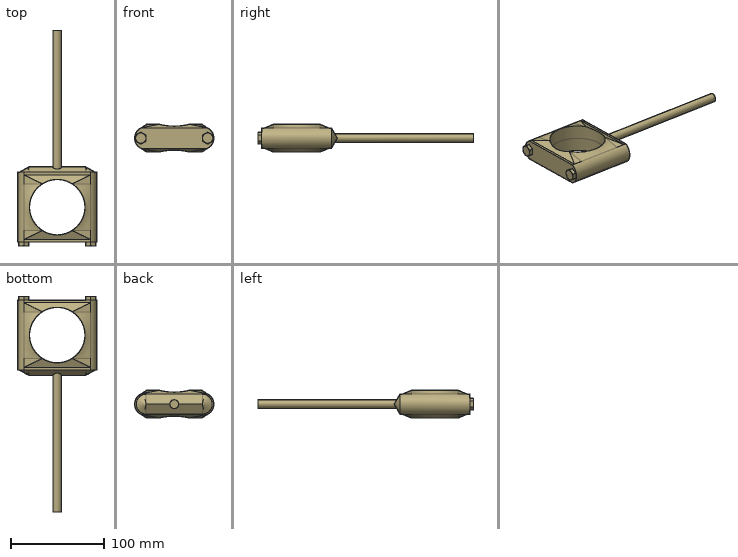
import cadquery as cq
import math

total_length = 231.5
body_width = 85.2
body_depth = 75.0
body_height = 21.8
bolt_spacing = 71.7
collar_depth = 69.5
collar_top_depth = 50.0
overall_height = 29.9
bore_radius = 29.6
bolt_head_flats = 11.0
bolt_head_height = 4.2
bolt_corner_bevel = 30
ridge_height = 6.0
ridge_length = 60.2
ridge_radius = 10.6
rod_diameter = 9.5

half_height = body_height / 2
half_depth = body_depth / 2
half_flat = bolt_spacing / 2
half_overall = overall_height / 2
crest_y = collar_top_depth / 2
crest_x = math.sqrt(bore_radius**2 - crest_y**2)


def make_body():
    """Block with flat top and bottom and arched long sides."""
    return (
        cq.Workplane("XZ", origin=(0, half_depth, 0))
        .moveTo(-half_flat, half_height)
        .lineTo(half_flat, half_height)
        .threePointArc((body_width / 2, 0), (half_flat, -half_height))
        .lineTo(-half_flat, -half_height)
        .threePointArc((-body_width / 2, 0), (-half_flat, half_height))
        .close()
        .extrude(body_depth)
    )


def tapered_prism(plane, base_width, top_width, length):
    """Trapezoid standing on the body top, extruded symmetrically."""
    outline = [
        (-base_width / 2, half_height),
        (base_width / 2, half_height),
        (top_width / 2, half_overall),
        (-top_width / 2, half_overall),
    ]
    return cq.Workplane(plane).polyline(outline).close().extrude(length / 2, both=True)


def make_collar():
    """Raised collar: ruled flanks rising to the bore edge, and sloping ends."""
    flanks = (
        cq.Workplane("XY", origin=(0, 0, half_height))
        .moveTo(-half_flat, -crest_y)
        .lineTo(half_flat, -crest_y)
        .lineTo(half_flat, crest_y)
        .lineTo(-half_flat, crest_y)
        .close()
        .workplane(offset=half_overall - half_height)
        .moveTo(-crest_x, -crest_y)
        .lineTo(crest_x, -crest_y)
        .threePointArc((bore_radius, 0), (crest_x, crest_y))
        .lineTo(-crest_x, crest_y)
        .threePointArc((-bore_radius, 0), (-crest_x, -crest_y))
        .close()
        .loft(ruled=True)
    )
    end_slopes = tapered_prism("YZ", collar_depth, collar_top_depth, bolt_spacing)
    side_slopes = tapered_prism("XZ", bolt_spacing, 2 * crest_x, collar_depth)
    return flanks.union(end_slopes.intersect(side_slopes))


def make_ridge():
    """Triangular ridge along X with a cone closing each end."""
    ridge_tip = half_depth + ridge_height
    ridge = (
        cq.Workplane("YZ")
        .polyline([(half_depth, -ridge_radius), (ridge_tip, 0), (half_depth, ridge_radius)])
        .close()
        .extrude(ridge_length / 2, both=True)
    )
    for side in (-1, 1):
        base_centre = cq.Vector(side * ridge_length / 2, half_depth, 0)
        cone = cq.Solid.makeCone(ridge_radius, 0, ridge_height, base_centre, cq.Vector(0, 1, 0))
        ridge = ridge.union(cq.Workplane(cone))
    return ridge


def make_rod():
    rod_end = total_length - half_depth - bolt_head_height
    return (
        cq.Workplane("XZ", origin=(0, half_depth, 0))
        .circle(rod_diameter / 2)
        .extrude(half_depth - rod_end)
    )


def make_bolt_heads():
    """Hexagonal heads, corners pointing up and down, beveled to a round outer face."""
    corner_radius = bolt_head_flats / 2 / math.cos(math.pi / 6)
    corner_overhang = corner_radius - bolt_head_flats / 2
    bevel_drop = corner_overhang * math.tan(math.radians(bolt_corner_bevel))
    heads = cq.Workplane("XY")
    for x in (-half_flat, half_flat):
        base = cq.Workplane("XZ", origin=(x, -half_depth, 0))
        hexagon = base.transformed(rotate=(0, 0, 90)).polygon(6, 2 * corner_radius).extrude(bolt_head_height)
        bevel = (
            base.circle(corner_radius)
            .extrude(bolt_head_height)
            .faces("<Y")
            .chamfer(bevel_drop, corner_overhang)
        )
        heads = heads.add(hexagon.intersect(bevel))
    return heads.combine()


collar = make_collar()
bore = cq.Workplane("XY").circle(bore_radius).extrude(overall_height, both=True)

result = (
    make_body()
    .union(collar)
    .union(collar.mirror("XY"))
    .cut(bore)
    .union(make_ridge())
    .union(make_rod())
    .union(make_bolt_heads())
)